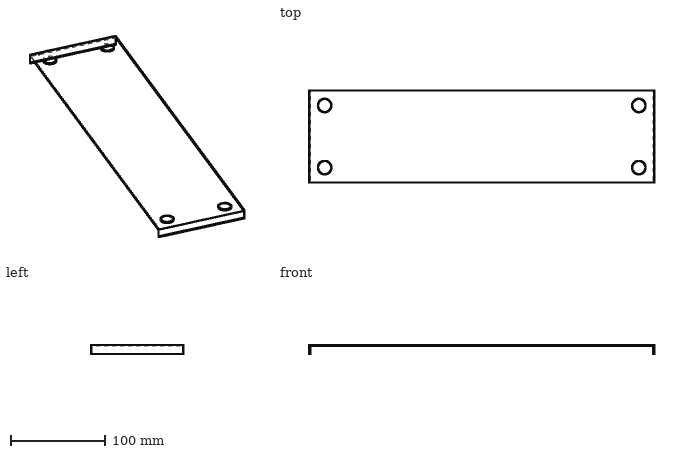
import cadquery as cq

length = 367.0
width = 98.0
height = 10.0
sheet_thickness = 1.5

hole_diameter = 14.0
hole_spacing_x = 334.0
hole_spacing_y = 66.0


def make_channel():
    """Flat top plate with a flange turned down at each X end; bottom at Z = 0."""
    block = cq.Workplane("XY").box(length, width, height, centered=(True, True, False))
    inner_length = length - 2 * sheet_thickness
    inner_height = height - sheet_thickness
    hollow = cq.Workplane("XY").box(inner_length, width, inner_height, centered=(True, True, False))
    return block.cut(hollow)


def drill_corner_holes(plate):
    """Cut the four through holes in the top plate."""
    return (
        plate.faces(">Z")
        .workplane(origin=(0, 0, height))
        .rect(hole_spacing_x, hole_spacing_y, forConstruction=True)
        .vertices()
        .hole(hole_diameter)
    )


result = drill_corner_holes(make_channel())